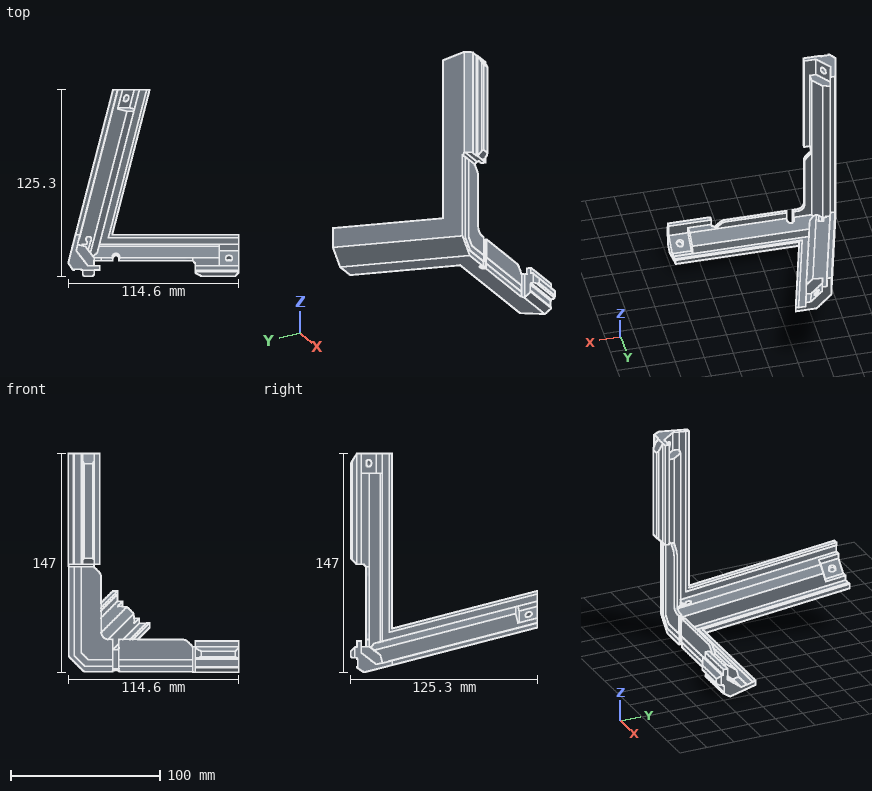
import cadquery as cq
import math


x_leg_length = 114.56
z_leg_length = 147.03
total_depth = 125.25

lean_angle = math.radians(14.5)
lean = math.tan(lean_angle)
edge_y = 9.0
skin = 3.1
skin_end_y = 27.9
back_skin_width = 24.75
lip_height = 0.25
lip_width = 2.1
lip_y = skin_end_y - lip_width
lip_start = back_skin_width - lip_width
corner_chamfer = 10.3

core_width = 17.4
core_front_y = 12.5
core_rear_y = 20.0
diagonal_slope = math.cos(lean_angle) / (1 + math.sin(lean_angle))
back_core_width = 17.8
back_core_bevel = 31.0

plate_front_y = 10.25
plate_width = 22.2
plate_radius = 5.0
plate_step = 0.15
plate_bands = ((4.2, 15.4), (8.7, 22.1))

face_y = 4.1
tongue_back_y = 7.2
tongue_width = 21.3
bevel_width = 3.3
groove_start = 4.0
groove_end = 8.9
groove_depth = 0.5
key_start = 9.8
x_key_end = 17.2
z_key_end = 17.7
shoulder_chamfer = 1.65
z_shoulder = 72.5
x_shoulder = 85.3

pocket_length = 13.2
pocket_pad = 0.2
pocket_floor_y = 17.2
back_ledge = 6.5
back_floor_sum = 20.8
screw_diameter = 4.6
screw_depth = 5.0
screw_to_end = 6.6
back_wall_y = 110.75
back_screw_y = 119.4

slot_x = 32.1
slot_width = 4.0
slot_end_y = 11.9
slot_flare = 0.5
bore_diameter = 5.0
bore_y = 12.85
bore_floor = 2.6

margin = 5.0


def skin_x(y):
    """X of the left skin's outer plane (equally Z of the bottom skin's) at depth y."""
    return lean * (y - edge_y)


def prism(points, direction):
    """Solid swept from a closed polygon of 3D points along a vector, oblique or not."""
    wire = cq.Wire.makePolygon([cq.Vector(*p) for p in points], close=True)
    return cq.Workplane(cq.Solid.extrudeLinear(wire, [], cq.Vector(*direction)))


def upright(points, z_from, z_to):
    """Prism along Z from (x, y) points."""
    return prism([(x, y, z_from) for x, y in points], (0, 0, z_to - z_from))


def slanted(points, y_from, y_to):
    """Prism along the slanted leg from (p, q) points measured from its outer skin planes."""
    start = skin_x(y_from)
    run = y_to - y_from
    return prism([(p + start, y_from, q + start) for p, q in points], (lean * run, run, lean * run))


def swap_xz(body):
    """Mirror in the plane x = z."""
    return body.mirror(cq.Vector(1, 0, -1))


def skin_rear():
    """Rear edge of an upright leg's skin, from the inside out."""
    return [(skin_x(skin_end_y) + skin, skin_end_y), (skin_x(skin_end_y), skin_end_y)]


def upright_lip(length):
    """Raised band along the rear edge of an upright leg's skin, above the slanted leg."""
    inner = skin_x(lip_y) + skin
    outer = skin_x(skin_end_y) + skin
    outline = [
        (inner - skin, lip_y),
        (inner + lip_height, lip_y),
        (outer + lip_height, skin_end_y),
        (outer - skin, skin_end_y),
    ]
    far = length + margin
    above = slanted([(0, lip_start), (far, lip_start), (far, far), (0, far)], 0, total_depth)
    return upright(outline, 0, length).intersect(above)


def core_back():
    """Core outline: diagonal face, then a rear face square to the skin."""
    rear_x = core_width - (core_rear_y - core_front_y) * diagonal_slope
    reach = (rear_x - skin - skin_x(core_rear_y)) / (1 + lean**2)
    foot = (rear_x - reach, core_rear_y + lean * reach)
    return [(core_width, core_front_y), (rear_x, core_rear_y), foot]


def plate_leg(shoulder):
    """Upright leg from the corner to the shoulder: skin, core and the plain front."""
    outline = [(skin_x(plate_front_y), plate_front_y), (core_width, plate_front_y)]
    return upright(outline + core_back() + skin_rear(), 0, shoulder - shoulder_chamfer)


def keyed_leg(shoulder, length):
    """Upright leg from the shoulder to its end, with tongue, groove and end pocket."""
    front = [
        (0, edge_y),
        (bevel_width, face_y),
        (groove_start, face_y),
        (groove_start, face_y + groove_depth),
        (groove_end, face_y + groove_depth),
        (groove_end, face_y),
        (tongue_width, face_y),
        (tongue_width, tongue_back_y),
    ]
    floor = pocket_floor()
    foot_x, foot_y = core_back()[-1]
    pad_end = [(foot_x + pocket_pad, foot_y), (foot_x, foot_y)]
    pocket_start = length - pocket_length
    low = shoulder - shoulder_chamfer
    core_side = [(core_width, tongue_back_y)]
    body = upright(front + core_side + core_back() + skin_rear(), low, pocket_start)
    body = body.union(upright(front + floor + pad_end + skin_rear(), pocket_start, length))
    undercut = [
        (0, -margin, low - margin),
        (0, plate_front_y, low - margin),
        (0, plate_front_y, low),
        (0, plate_front_y - shoulder_chamfer, shoulder),
        (0, -margin, shoulder),
    ]
    body = body.cut(prism(undercut, (tongue_width + margin, 0, 0)))
    return body.cut(screw_hole(floor, length - screw_to_end))


def front_leg(shoulder, length):
    """Complete upright leg without its key."""
    return plate_leg(shoulder).union(keyed_leg(shoulder, length)).union(upright_lip(length))


def pocket_floor():
    """Ends of the pocket floor line, parallel to the core's diagonal face."""
    rear_x = skin_x(pocket_floor_y) + skin + pocket_pad
    front_x = rear_x + (pocket_floor_y - tongue_back_y) * diagonal_slope
    return [(front_x, tongue_back_y), (rear_x, pocket_floor_y)]


def screw_hole(floor, z):
    """Blind hole square to the middle of the pocket floor."""
    (x1, y1), (x2, y2) = floor
    centre = cq.Vector((x1 + x2) / 2, (y1 + y2) / 2, z)
    inward = cq.Vector(-1, -diagonal_slope, 0)
    return cq.Workplane(cq.Solid.makeCylinder(screw_diameter / 2, screw_depth, centre, inward))


def key(section, side):
    """Key on a tongue: (x, y) section and (z, y) side outline, intersected."""
    z_values = [z for z, _ in side]
    body = upright(section, min(z_values), max(z_values))
    return body.intersect(prism([(0, y, z) for z, y in side], (tongue_width, 0, 0)))


def z_key():
    """Key on the Z leg, tapering gently towards the leg's end."""
    root_y = face_y + groove_depth
    left_chamfer = 1.0
    right_chamfer = 1.2
    end_run = 6.8
    section = [
        (key_start, root_y),
        (key_start, left_chamfer),
        (key_start + left_chamfer, 0),
        (z_key_end - right_chamfer, 0),
        (z_key_end, right_chamfer),
        (z_key_end, root_y),
    ]
    side = [
        (z_shoulder, root_y),
        (z_shoulder, face_y),
        (z_shoulder + face_y, 0),
        (z_leg_length - end_run, 0),
        (z_leg_length, face_y),
        (z_leg_length, root_y),
    ]
    return key(section, side)


def x_key():
    """Key on the X leg, with one wide chamfer along its upper edge."""
    root_y = face_y + groove_depth
    lower_chamfer = 0.9
    upper_chamfer = 3.0
    inner_run = 4.1
    inner_drop = 2.2
    outer_run = 2.3
    outer_drop = 2.6
    section = [
        (key_start, root_y),
        (key_start, lower_chamfer),
        (key_start + lower_chamfer, 0),
        (x_key_end - upper_chamfer, 0),
        (x_key_end, upper_chamfer),
        (x_key_end, root_y),
    ]
    side = [
        (x_shoulder, root_y),
        (x_shoulder, inner_drop),
        (x_shoulder + inner_run, 0),
        (x_leg_length - outer_run, 0),
        (x_leg_length, outer_drop),
        (x_leg_length, root_y),
    ]
    return swap_xz(key(section, side))


def front_plate():
    """L-shaped plate joining the two front legs, with rounded inner and end corners."""
    x_end = x_shoulder - shoulder_chamfer
    z_end = z_shoulder - shoulder_chamfer
    drop = plate_width - core_width
    outline = [
        (0, 0),
        (x_end, 0),
        (x_end, core_width),
        (x_end - drop, plate_width),
        (plate_width, plate_width),
        (plate_width, z_end - drop),
        (core_width, z_end),
        (0, z_end),
    ]
    plate = prism([(x, plate_front_y, z) for x, z in outline], (0, core_front_y - plate_front_y, 0))
    rounded = [(x_end - drop, plate_width), (plate_width, plate_width), (plate_width, z_end - drop)]
    for x, z in rounded:
        corner = cq.selectors.BoxSelector((x - 1, 0, z - 1), (x + 1, total_depth, z + 1))
        plate = plate.edges(corner).fillet(plate_radius)
    return plate


def plate_steps():
    """Shallow bands set back from the front plate along its outer sides."""
    x_end = x_shoulder - shoulder_chamfer
    z_end = z_shoulder - shoulder_chamfer
    steps = []
    for count, (offset, diagonal) in enumerate(reversed(plate_bands), start=1):
        outline = [
            (-margin, -margin),
            (x_end, -margin),
            (x_end, offset),
            (diagonal - offset, offset),
            (offset, diagonal - offset),
            (offset, z_end),
            (-margin, z_end),
        ]
        steps.append(prism([(x, plate_front_y, z) for x, z in outline], (0, count * plate_step, 0)))
    return steps


def back_leg():
    """Slanted leg: two lipped skins around a bevelled core with an end pocket."""
    bevel_end = back_core_bevel - back_core_width
    section = [
        (0, 0),
        (back_skin_width, 0),
        (back_skin_width, skin),
        (back_core_width, skin),
        (back_core_width, bevel_end),
        (bevel_end, back_core_width),
        (skin, back_core_width),
        (skin, back_skin_width),
        (0, back_skin_width),
    ]
    lip_section = [
        (0, lip_start),
        (skin + lip_height, lip_start),
        (skin + lip_height, back_skin_width),
        (0, back_skin_width),
    ]
    lip = slanted(lip_section, lip_y, total_depth)
    body = slanted(section, plate_front_y, total_depth).union(lip).union(swap_xz(lip))
    return body.cut(back_pocket()).cut(keyhole())


def keyhole():
    """Flat-bottomed recess on the slanted core: a round head, and a tail widening at the Z leg."""
    head_x = 13.8
    head_y = 24.8
    head_diameter = 3.7
    tail_left = 13.3
    tail_right = 15.4
    foot_left = 9.5
    foot_y = 21.4
    tail_end_y = 15.0
    floor_z = 19.8
    height = 4.0
    outline = [
        (tail_right, head_y),
        (tail_left, head_y),
        (tail_left - lean * (head_y - foot_y), foot_y),
        (foot_left, foot_y),
        (foot_left, tail_end_y),
        (tail_right - lean * (head_y - tail_end_y), tail_end_y),
    ]
    head = cq.Workplane("XY", origin=(head_x, head_y, floor_z)).circle(head_diameter / 2).extrude(height)
    return head.union(upright(outline, floor_z, floor_z + height))


def back_pocket():
    """End pocket of the slanted leg, its inner wall square to the leg, with a screw hole."""
    far = back_core_width + margin
    floor_end = back_floor_sum - back_ledge
    opening = [
        (back_ledge, floor_end),
        (floor_end, back_ledge),
        (far, back_ledge),
        (far, far),
        (back_ledge, far),
    ]
    axis = cq.Vector(lean, 1, lean).normalized()
    wall_x = back_core_bevel / 2 + skin_x(back_wall_y)
    wall = cq.Plane(origin=(wall_x, back_wall_y, wall_x), xDir=(1, 0, -1), normal=axis)
    beyond = cq.Workplane(wall).rect(total_depth, total_depth).extrude(total_depth)
    pocket = slanted(opening, skin_end_y, total_depth + margin).intersect(beyond)
    screw_x = back_floor_sum / 2 + skin_x(back_screw_y)
    centre = cq.Vector(screw_x, back_screw_y, screw_x)
    inward = cq.Vector(-1, 2 * lean, -1)
    hole = cq.Solid.makeCylinder(screw_diameter / 2, screw_depth, centre, inward)
    return pocket.union(cq.Workplane(hole))


def envelope():
    """Everything inside the skin planes and the bevel along the slanted edge."""
    far = 2 * z_leg_length
    outline = [(corner_chamfer, 0), (far, 0), (far, far), (0, far), (0, corner_chamfer)]
    return slanted(outline, -margin, total_depth + margin)


def slot_and_bore():
    """Open slot through the front of the X leg, flared below, with a wider bore above its floor."""
    half = slot_width / 2
    outline = [
        (slot_x - half - slot_flare - margin, -margin),
        (slot_x + half + slot_flare + margin, -margin),
        (slot_x + half, slot_flare + skin_x(plate_front_y)),
        (slot_x + half, plate_width + margin),
        (slot_x - half, plate_width + margin),
        (slot_x - half, slot_flare + skin_x(plate_front_y)),
    ]
    slot = prism([(x, 0, z) for x, z in outline], (0, slot_end_y, 0))
    slot_round = cq.Workplane("XY").center(slot_x, slot_end_y).circle(half).extrude(plate_width)
    bore = cq.Workplane("XY", origin=(slot_x, bore_y, bore_floor))
    bore = bore.circle(bore_diameter / 2).extrude(plate_width)
    on_skin = cq.Vector(slot_x, slot_end_y, skin_x(slot_end_y))
    into_skin = cq.Vector(0, -lean, 1)
    countersink = cq.Solid.makeCone(half + slot_flare, half, slot_flare, on_skin, into_skin)
    return slot.union(slot_round).union(bore).union(cq.Workplane(countersink))


def frame_corner():
    """Joined legs and plate, trimmed to the skin planes, then keyed and slotted."""
    body = front_leg(z_shoulder, z_leg_length).union(swap_xz(front_leg(x_shoulder, x_leg_length)))
    body = body.union(front_plate()).union(back_leg()).intersect(envelope())
    for step in plate_steps():
        body = body.cut(step)
    return body.union(z_key()).union(x_key()).cut(slot_and_bore())


result = frame_corner()